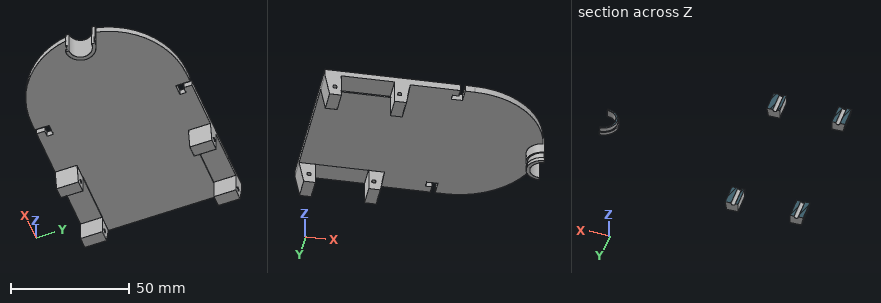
import cadquery as cq

length = 100.1
width = 70.7
thickness = 3.2
dome_center_x = 64.6
dome_radius = width / 2

slot_start_x = 55.7
slot_neck_x = 58.5
slot_end_x = 60.5
slot_lip = 3.8
slot_depth = 6.5

total_height = 13
leg_width = 10
rear_leg_inner_x = 7.1
rear_leg_foot_x = 2
front_leg_inner_x = 30
front_leg_foot_x = 35.1
front_leg_root_x = 36.8
relief_depth = 0.6
pin_diameter = 1.7
pin_depth = 8.8
pin_positions = (4.3, 32.2)

hub_offset_y = 0.8
hub_radius = 6.7
groove_radius = 6.1
bore_radius = 5.1
groove_top = 7.7
groove_bottom = 10.6
hub_bottom = 12.2


def box(x_min, x_max, y_min, y_max, z_min, z_max):
    size = (x_max - x_min, y_max - y_min, z_max - z_min)
    solid = cq.Workplane("XY").box(*size, centered=False)
    return solid.translate((x_min, y_min, z_min))


def make_plate():
    return (
        cq.Workplane("XY")
        .moveTo(0, -dome_radius)
        .lineTo(dome_center_x, -dome_radius)
        .threePointArc((dome_center_x + dome_radius, 0), (dome_center_x, dome_radius))
        .lineTo(0, dome_radius)
        .close()
        .extrude(-thickness)
    )


def make_leg_pair():
    """Profile of the two legs joined by the thinned plate edge, on the -Y side."""
    relief_z = relief_depth - thickness
    profile = [
        (0, 0),
        (0, -thickness),
        (rear_leg_foot_x, -total_height),
        (rear_leg_inner_x, -total_height),
        (rear_leg_inner_x, relief_z),
        (front_leg_inner_x, relief_z),
        (front_leg_inner_x, -total_height),
        (front_leg_foot_x, -total_height),
        (front_leg_root_x, -thickness),
        (front_leg_root_x, 0),
    ]
    legs = (
        cq.Workplane("XZ", origin=(0, leg_width - width / 2, 0))
        .polyline(profile)
        .close()
        .extrude(leg_width)
    )
    pins = (
        cq.Workplane("XZ", origin=(0, leg_width - width / 2, 0))
        .pushPoints([(x, -pin_depth) for x in pin_positions])
        .circle(pin_diameter / 2)
        .extrude(leg_width)
    )
    return legs.cut(pins)


def make_relief():
    """Shallow recess under the plate between the legs, on the -Y side."""
    return box(
        rear_leg_inner_x, front_leg_inner_x,
        -width / 2, leg_width - width / 2,
        -thickness, relief_depth - thickness,
    )


def make_slot():
    """L-shaped cutter on the -Y side: an open neck and an inner pocket."""
    edge = -width / 2
    neck = box(slot_neck_x, slot_end_x, edge, edge + slot_depth, -thickness, 0)
    pocket = box(slot_start_x, slot_end_x, edge + slot_lip, edge + slot_depth, -thickness, 0)
    return neck.union(pocket)


def hub_cylinder(radius, z_top, z_bottom):
    base = cq.Workplane("XY", origin=(length, hub_offset_y, z_top))
    return base.circle(radius).extrude(z_bottom - z_top)


def make_hub():
    upper = hub_cylinder(hub_radius, 0, -groove_top)
    neck = hub_cylinder(groove_radius, -groove_top, -groove_bottom)
    rim = hub_cylinder(hub_radius, -groove_bottom, -hub_bottom)
    return upper.union(neck).union(rim)


def both_sides(shape):
    return shape.union(shape.mirror("XZ"))


body = make_plate().cut(both_sides(make_slot())).cut(both_sides(make_relief()))
body = body.union(both_sides(make_leg_pair())).union(make_hub())
body = body.cut(hub_cylinder(bore_radius, 0, -hub_bottom))

result = body.intersect(box(0, length, -width / 2, width / 2, -total_height, 0))